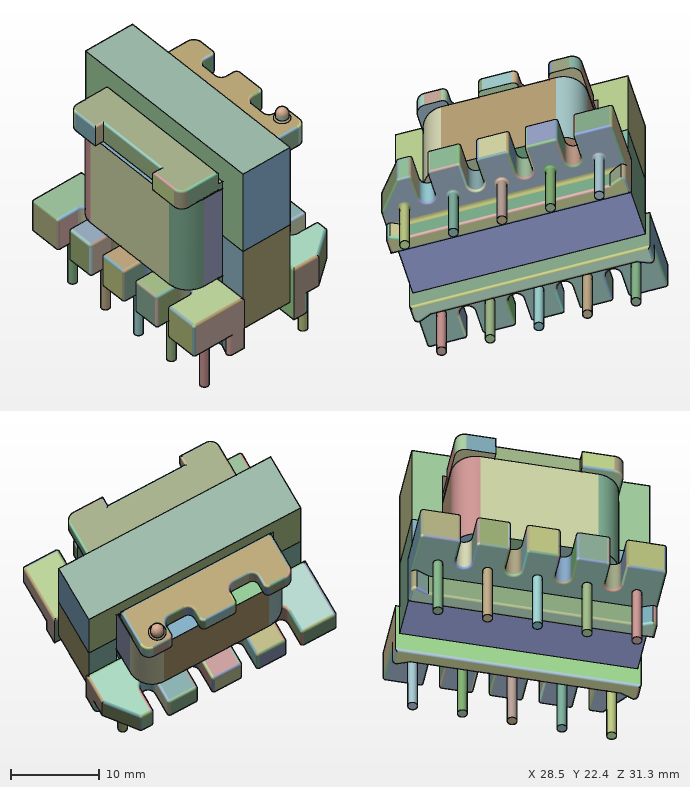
import cadquery as cq
import math


CORE_WIDTH = 27.55
CORE_DEPTH = 7.0
CORE_TOP = 31.3
CORE_BOTTOM = 7.7
CORE_MIDDLE = (CORE_TOP + CORE_BOTTOM) / 2
OUTER_LEG_WIDTH = 3.57
CORE_BACK = 3.6
CENTRE_LEG_WIDTH = 2 * OUTER_LEG_WIDTH

TUBE_HOLE_WIDTH = 7.65
TUBE_GAP = 0.2
INNER_FACE = CORE_DEPTH / 2 + TUBE_GAP
WINDING_WIDTH = 19.35
WINDING_DEPTH = 17.25
WINDING_CORNER = 2.85

RAIL_LENGTH = 28.45
RAIL_OUTER = 22.37 / 2
RAIL_BOTTOM = 8.07
RAIL_TOP = 12.77
RAIL_ROUND = 0.3
RAIL_BOTTOM_ROUND = 0.25
LOWER_PLATE_THICKNESS = 1.35
KEY_CORNER_X = 2.97
KEY_CORNER_Y = 3.75

PIN_PITCH = 5.75
PINS_PER_RAIL = 5
PIN_DIAMETER = 1.13
BACK_PIN_FILLET = 0.25
PIN_ROW = 7.35
SLOT_WIDTH = 1.88
SLOT_END = 7.2

FOOT_BOTTOM = 5.0
FOOT_OUTER = 5.95
FOOT_MIDDLE = 5.32
FOOT_SLOPE_START = 13.67
FOOT_SLOPE_END = 12.17
FOOT_CORNER = RAIL_LENGTH / 2 - FOOT_SLOPE_START
FOOT_ROUND = 0.28
BACK_FOOT_FILLET = 0.47

FLANGE_WIDTH = 19.45
FLANGE_DEPTH = 18.75
FLANGE_BOTTOM = 26.05
FLANGE_PLATE_TOP = 27.2
FLANGE_TOP = 28.85
FLANGE_CORNER = 1.15
FLANGE_ROUND = 0.25
FRONT_NOTCH_LEFT = -5.2
FRONT_NOTCH_RIGHT = 4.8
FRONT_NOTCH_FACE = 8.17
BACK_NOTCH_WIDTH = 3.63
BACK_NOTCH_OFFSET = 4.15
BACK_NOTCH_FACE = 6.88
BACK_NOTCH_CORNER = 0.8
BACK_TOOTH_CORNER = 0.6

PEG_X = 7.3
PEG_Y = 7.85
PEG_RADIUS = 0.78
PEG_TOP = 30.35
PEG_FLARE = 0.22

ARC_INSET = 1 - math.sqrt(0.5)


def block(width, y_low, y_high, z_low, z_high):
    """Box centred on X that spans the given Y and Z ranges."""
    return (
        cq.Workplane("XY", origin=(0, (y_low + y_high) / 2, z_low))
        .rect(width, y_high - y_low)
        .extrude(z_high - z_low)
    )


def core_half(back_z, direction):
    """E-shaped half with its back at back_z; direction +1 points the legs up, -1 down."""
    web_inner = back_z + direction * CORE_BACK
    half = CORE_WIDTH / 2
    window_outer = half - OUTER_LEG_WIDTH
    window_inner = CENTRE_LEG_WIDTH / 2
    outline = [
        (-half, back_z),
        (half, back_z),
        (half, CORE_MIDDLE),
        (window_outer, CORE_MIDDLE),
        (window_outer, web_inner),
        (window_inner, web_inner),
        (window_inner, CORE_MIDDLE),
        (-window_inner, CORE_MIDDLE),
        (-window_inner, web_inner),
        (-window_outer, web_inner),
        (-window_outer, CORE_MIDDLE),
        (-half, CORE_MIDDLE),
    ]
    return cq.Workplane("XZ").polyline(outline).close().extrude(CORE_DEPTH / 2, both=True)


def wire_slots():
    """Round-ended slots midway between neighbouring pins, open at the front rail face."""
    slots = cq.Workplane("XY")
    slot_count = PINS_PER_RAIL - 1
    round_centre = -SLOT_END - SLOT_WIDTH / 2
    for index in range(slot_count):
        x = (index - (slot_count - 1) / 2) * PIN_PITCH
        slot = block(SLOT_WIDTH, -RAIL_OUTER, round_centre, RAIL_BOTTOM, RAIL_TOP)
        slot_end = (
            cq.Workplane("XY", origin=(0, round_centre, RAIL_BOTTOM))
            .circle(SLOT_WIDTH / 2)
            .extrude(RAIL_TOP - RAIL_BOTTOM)
        )
        slots = slots.add(slot.union(slot_end).translate((x, 0, 0)))
    return slots.combine()


def rail(is_back):
    """Slotted rail in the front position; the back rail has its key corner cut off."""
    body = block(RAIL_LENGTH, -RAIL_OUTER, -INNER_FACE, RAIL_BOTTOM, RAIL_TOP)
    if is_back:
        corner_x = RAIL_LENGTH / 2
        wedge = (
            cq.Workplane("XY", origin=(0, 0, RAIL_BOTTOM))
            .moveTo(corner_x, -RAIL_OUTER)
            .lineTo(corner_x - KEY_CORNER_X, -RAIL_OUTER)
            .lineTo(corner_x, -RAIL_OUTER + KEY_CORNER_Y)
            .close()
            .extrude(RAIL_TOP - RAIL_BOTTOM)
        )
        body = body.cut(wedge)
    body = body.cut(wire_slots())
    outer_corners = cq.selectors.BoxSelector(
        (-RAIL_LENGTH, -RAIL_OUTER - RAIL_ROUND, RAIL_BOTTOM),
        (RAIL_LENGTH, -RAIL_OUTER + RAIL_ROUND, RAIL_TOP),
    )
    body = body.edges("|Z").edges(outer_corners).fillet(RAIL_ROUND)
    body = body.faces(">Z").edges().fillet(RAIL_ROUND)
    return body.faces("<Z").edges("not >Y").fillet(RAIL_BOTTOM_ROUND)


def foot():
    """Standoff under the front rail, thicker at its two ends."""
    end = RAIL_LENGTH / 2
    corner_start = -FOOT_OUTER + FOOT_CORNER
    corner_inset = FOOT_CORNER * ARC_INSET
    body = (
        cq.Workplane("XY", origin=(0, 0, FOOT_BOTTOM))
        .moveTo(-end, -INNER_FACE)
        .lineTo(-end, corner_start)
        .threePointArc(
            (-end + corner_inset, -FOOT_OUTER + corner_inset),
            (-FOOT_SLOPE_START, -FOOT_OUTER),
        )
        .lineTo(-FOOT_SLOPE_END, -FOOT_MIDDLE)
        .lineTo(FOOT_SLOPE_END, -FOOT_MIDDLE)
        .lineTo(FOOT_SLOPE_START, -FOOT_OUTER)
        .threePointArc((end - corner_inset, -FOOT_OUTER + corner_inset), (end, corner_start))
        .lineTo(end, -INNER_FACE)
        .close()
        .extrude(RAIL_BOTTOM + RAIL_BOTTOM_ROUND - FOOT_BOTTOM)
    )
    return body.faces("<Z").edges().fillet(FOOT_ROUND)


def pin_root():
    """Concave collar that widens a back pin where it meets its rail."""
    pin_radius = PIN_DIAMETER / 2
    fillet = BACK_PIN_FILLET
    arc_middle = fillet * ARC_INSET
    return (
        cq.Workplane("XZ")
        .lineTo(pin_radius, 0)
        .threePointArc((pin_radius + arc_middle, fillet - arc_middle), (pin_radius + fillet, fillet))
        .lineTo(0, fillet)
        .close()
        .revolve(360, (0, 0, 0), (0, 1, 0))
    )


def pin_row(is_back):
    """Row of round pins that hang from a rail in the front position."""
    first_x = -(PINS_PER_RAIL - 1) / 2 * PIN_PITCH
    centres = [(first_x + index * PIN_PITCH, -PIN_ROW) for index in range(PINS_PER_RAIL)]
    pins = cq.Workplane("XY").pushPoints(centres).circle(PIN_DIAMETER / 2).extrude(RAIL_BOTTOM)
    if is_back:
        collar_base = RAIL_BOTTOM - BACK_PIN_FILLET
        for x, y in centres:
            pins = pins.union(pin_root().translate((x, y, collar_base)))
    return pins


def terminal_side(is_back):
    """Rail in the front position with its foot and pins."""
    side = rail(is_back).union(foot())
    if is_back:
        foot_root = cq.selectors.BoxSelector(
            (-FOOT_SLOPE_END, -FOOT_OUTER, RAIL_BOTTOM - RAIL_BOTTOM_ROUND),
            (FOOT_SLOPE_END, -INNER_FACE - TUBE_GAP, RAIL_BOTTOM + RAIL_BOTTOM_ROUND),
        )
        side = side.edges(foot_root).fillet(BACK_FOOT_FILLET)
    return side.union(pin_row(is_back))


def winding():
    """Wound coil with rounded corners between rail and flange."""
    return (
        block(WINDING_WIDTH, -WINDING_DEPTH / 2, WINDING_DEPTH / 2, RAIL_TOP, FLANGE_BOTTOM)
        .edges("|Z")
        .fillet(WINDING_CORNER)
    )


def flange_blank():
    """Rounded plate at the full flange height."""
    return (
        block(FLANGE_WIDTH, -FLANGE_DEPTH / 2, FLANGE_DEPTH / 2, FLANGE_BOTTOM, FLANGE_TOP)
        .edges("|Z")
        .fillet(FLANGE_CORNER)
    )


def back_notch(x):
    """Notch through the back lip with rounded inner corners and a rounded mouth."""
    half = BACK_NOTCH_WIDTH / 2
    mouth = FLANGE_DEPTH / 2
    inner = BACK_NOTCH_CORNER
    outer = BACK_TOOTH_CORNER
    height = FLANGE_TOP - FLANGE_BOTTOM
    return (
        cq.Workplane("XY", origin=(x, 0, FLANGE_BOTTOM))
        .moveTo(-half - outer, mouth)
        .threePointArc((-half - outer * ARC_INSET, mouth - outer * ARC_INSET), (-half, mouth - outer))
        .lineTo(-half, BACK_NOTCH_FACE + inner)
        .threePointArc(
            (-half + inner * ARC_INSET, BACK_NOTCH_FACE + inner * ARC_INSET),
            (-half + inner, BACK_NOTCH_FACE),
        )
        .lineTo(half - inner, BACK_NOTCH_FACE)
        .threePointArc(
            (half - inner * ARC_INSET, BACK_NOTCH_FACE + inner * ARC_INSET),
            (half, BACK_NOTCH_FACE + inner),
        )
        .lineTo(half, mouth - outer)
        .threePointArc((half + outer * ARC_INSET, mouth - outer * ARC_INSET), (half + outer, mouth))
        .close()
        .extrude(height)
    )


def flange():
    """Flange plate with a notched lip in front of the core and another behind it."""
    lip_edge = FLANGE_DEPTH / 2
    front_lip = flange_blank().intersect(
        block(FLANGE_WIDTH, -lip_edge, -INNER_FACE, FLANGE_BOTTOM, FLANGE_TOP)
    )
    notch_width = FRONT_NOTCH_RIGHT - FRONT_NOTCH_LEFT
    notch_centre = (FRONT_NOTCH_RIGHT + FRONT_NOTCH_LEFT) / 2
    front_notch = block(notch_width, -lip_edge, -FRONT_NOTCH_FACE, FLANGE_BOTTOM, FLANGE_TOP)
    front_lip = front_lip.cut(front_notch.translate((notch_centre, 0, 0)))
    back_lip = flange_blank().intersect(
        block(FLANGE_WIDTH, INNER_FACE, lip_edge, FLANGE_BOTTOM, FLANGE_TOP)
    )
    for x in (-BACK_NOTCH_OFFSET, BACK_NOTCH_OFFSET):
        back_lip = back_lip.cut(back_notch(x))
    plate = block(FLANGE_WIDTH, -INNER_FACE, INNER_FACE, FLANGE_BOTTOM, FLANGE_PLATE_TOP)
    front_lip = front_lip.faces(">Z").edges().fillet(FLANGE_ROUND)
    front_lip = front_lip.faces("<Z").edges(">X").fillet(FLANGE_ROUND)
    back_lip = back_lip.faces(">Z").edges().fillet(FLANGE_ROUND)
    return plate.union(front_lip).union(back_lip)


def peg():
    """Round-headed peg that widens where it meets the back lip."""
    peg_root = FLANGE_TOP - FLANGE_ROUND
    dome_base = PEG_TOP - PEG_RADIUS
    arc_middle = PEG_RADIUS * math.sqrt(0.5)
    return (
        cq.Workplane("XZ")
        .moveTo(0, peg_root)
        .lineTo(PEG_RADIUS + PEG_FLARE, peg_root)
        .lineTo(PEG_RADIUS + PEG_FLARE, FLANGE_TOP)
        .lineTo(PEG_RADIUS, FLANGE_TOP + PEG_FLARE)
        .lineTo(PEG_RADIUS, dome_base)
        .threePointArc((arc_middle, dome_base + arc_middle), (0, PEG_TOP))
        .close()
        .revolve(360, (0, 0, 0), (0, 1, 0))
        .translate((PEG_X, PEG_Y, 0))
    )


def bobbin():
    """Wound bobbin with rails, feet, pins, flange and peg as one piece."""
    lower_plate = block(
        FLANGE_WIDTH, -INNER_FACE, INNER_FACE, RAIL_TOP - LOWER_PLATE_THICKNESS, RAIL_TOP
    )
    back_side = terminal_side(is_back=True).mirror("XZ")
    body = winding().union(lower_plate).union(flange()).union(peg())
    body = body.union(terminal_side(is_back=False)).union(back_side)
    tube_hole = block(TUBE_HOLE_WIDTH, -INNER_FACE, INNER_FACE, FOOT_BOTTOM, FLANGE_TOP)
    return body.cut(tube_hole)


lower_core = core_half(CORE_BOTTOM, 1)
upper_core = core_half(CORE_TOP, -1)
wound_bobbin = bobbin()

result = cq.Compound.makeCompound([lower_core.val(), upper_core.val(), wound_bobbin.val()])